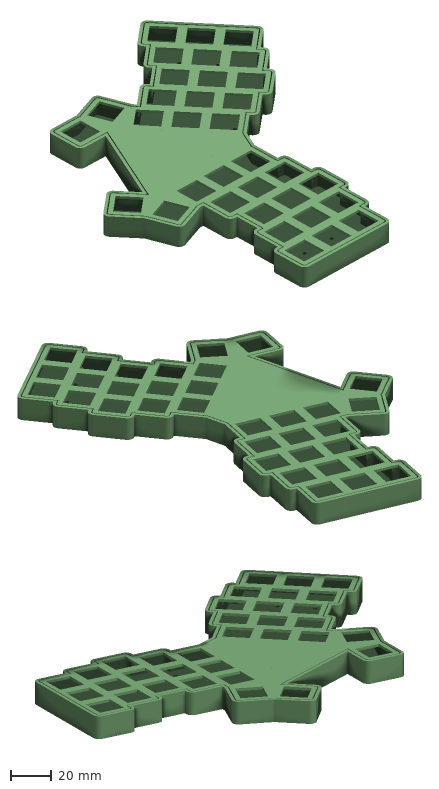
import cadquery as cq
import math

COLUMN_TILT = 25
INNER_COLUMN = 25.4
OUTER_COLUMN = 101.5
TOP_KEY = 9.5
STAGGER = [0, 4.7, 9.5, 4.7, 0]
ROWS = 3
PITCH = (OUTER_COLUMN - INNER_COLUMN) / (len(STAGGER) - 1)
HALF_CELL = PITCH / 2
KEY_HOLE = 14.0
THUMB_TURN = 20

CASE_HEIGHT = 12.0
FLOOR = 1.5
PLATE_THICKNESS = 1.5
PLATE_BOTTOM = CASE_HEIGHT - PLATE_THICKNESS
INLAY_DEPTH = 0.7
INLAY_BOTTOM = CASE_HEIGHT - INLAY_DEPTH

PLATE_CORNER = 1.2
PLATE_GAP = 0.6
WALL = 1.6
FRAME = 1.0
INLAY_CORNER = 1.0

SLOT = 2.0
FIRST_SLOT = 3.0
SLOT_COUNT = 5
BRIDGE = 1.0
BRIDGE_LENGTH = 71.1

SCREW_HOLE = 2.2
INNER_SCREW_HEIGHT = 13.5
THUMB_SCREW_OFFSET = 10.5


def turned(x, y, degrees):
    angle = math.radians(degrees)
    return x * math.cos(angle) - y * math.sin(angle), x * math.sin(angle) + y * math.cos(angle)


def cell_corner(key, side, end):
    """A corner of the square cell round a key; side and end are 1 or -1."""
    x, y, tilt = key
    dx, dy = turned(side * HALF_CELL, end * HALF_CELL, tilt)
    return x + dx, y + dy


def column_keys(number):
    across = INNER_COLUMN + number * PITCH
    top = TOP_KEY + STAGGER[number]
    return [(*turned(across, top - row * PITCH, COLUMN_TILT), COLUMN_TILT) for row in range(ROWS)]


def hung_key(hinge, tilt):
    """A key whose upper outer cell corner is at the hinge."""
    dx, dy = turned(-HALF_CELL, -HALF_CELL, tilt)
    return hinge[0] + dx, hinge[1] + dy, tilt


columns = [column_keys(number) for number in range(len(STAGGER))]
inner_top = columns[0][0]
inner_bottom = columns[0][-1]
upper_thumb = hung_key(cell_corner(inner_bottom, 1, -1), COLUMN_TILT + THUMB_TURN)
lower_thumb = hung_key(cell_corner(upper_thumb, -1, -1), -COLUMN_TILT)
keys = [key for column in columns for key in column] + [upper_thumb, lower_thumb]

top_x, top_y = cell_corner(inner_top, -1, 1)
base_y = cell_corner(lower_thumb, -1, 1)[1]
base_x = top_x + (top_y - base_y) * math.tan(math.radians(COLUMN_TILT))
BASE_BISECTOR = (90 - COLUMN_TILT) / 2
bridge_centre_y = base_y + base_x * math.tan(math.radians(BASE_BISECTOR))


def mirrored_outline(right_points):
    left_points = [(-x, y) for x, y in reversed(right_points)]
    return cq.Workplane("XY").polyline(right_points + left_points).close()


def plate_outline():
    points = []
    for column in columns:
        points += [cell_corner(column[0], -1, 1), cell_corner(column[0], 1, 1)]
    for column in reversed(columns[1:]):
        points += [cell_corner(column[-1], 1, -1), cell_corner(column[-1], -1, -1)]
    points.append(cell_corner(inner_bottom, 1, -1))
    points.append(cell_corner(upper_thumb, 1, -1))
    points += [cell_corner(lower_thumb, side, end) for side, end in [(1, 1), (1, -1), (-1, -1), (-1, 1)]]
    return mirrored_outline(points)


def centre_outline():
    return mirrored_outline([
        cell_corner(inner_top, -1, 1),
        cell_corner(inner_bottom, -1, -1),
        cell_corner(inner_bottom, 1, -1),
        cell_corner(upper_thumb, -1, 1),
        cell_corner(upper_thumb, -1, -1),
        cell_corner(lower_thumb, -1, 1),
    ])


def trapezoid_outline():
    return mirrored_outline([(top_x, top_y), (base_x, base_y)])


def rounded(outline, radius, grow):
    """The outline grown by an offset, with its outward corners rounded."""
    return outline.offset2D(min(grow, 0) - radius).offset2D(radius + max(grow, 0))


def prism(outline, bottom, top):
    return outline.extrude(top - bottom).translate((0, 0, bottom))


def screw_points():
    between_outer_columns = OUTER_COLUMN - HALF_CELL
    below_top_key = TOP_KEY - HALF_CELL
    thumb_dx, thumb_dy = turned(-THUMB_SCREW_OFFSET, 0, upper_thumb[2])
    right = [
        turned(between_outer_columns, below_top_key, COLUMN_TILT),
        turned(between_outer_columns, below_top_key - PITCH, COLUMN_TILT),
        turned(INNER_COLUMN + HALF_CELL, INNER_SCREW_HEIGHT, COLUMN_TILT),
        (upper_thumb[0] + thumb_dx, upper_thumb[1] + thumb_dy),
    ]
    return right + [(-x, y) for x, y in right]


def make_case():
    """An open tray with screw holes through its floor."""
    tray = prism(rounded(plate_outline(), PLATE_CORNER, PLATE_GAP + WALL), 0, CASE_HEIGHT)
    cavity = prism(rounded(plate_outline(), PLATE_CORNER, PLATE_GAP), FLOOR, CASE_HEIGHT)
    screws = cq.Workplane("XY").pushPoints(screw_points()).circle(SCREW_HOLE / 2).extrude(FLOOR)
    return tray.cut(cavity).cut(screws)


def bridges():
    """Three bars from the middle of the inlay to its top and its two base corners."""
    height = 2 * CASE_HEIGHT
    arm = cq.Workplane("XY").box(BRIDGE_LENGTH, BRIDGE, height).translate((BRIDGE_LENGTH / 2, 0, 0))
    bars = arm.rotate((0, 0, 0), (0, 0, 1), 90)
    for direction in (-BASE_BISECTOR, 180 + BASE_BISECTOR):
        bars = bars.union(arm.rotate((0, 0, 0), (0, 0, 1), direction))
    return bars.translate((0, bridge_centre_y, 0))


def make_inlay():
    """A thin sheet with nested slots, each interrupted by the bridges."""
    sheet = prism(rounded(centre_outline(), INLAY_CORNER, -FRAME), INLAY_BOTTOM, CASE_HEIGHT)
    bars = bridges()
    for number in range(SLOT_COUNT):
        inset = FIRST_SLOT + 2 * SLOT * number
        outer = prism(rounded(trapezoid_outline(), INLAY_CORNER, -inset), INLAY_BOTTOM, CASE_HEIGHT)
        inner = prism(trapezoid_outline().offset2D(-inset - SLOT), INLAY_BOTTOM, CASE_HEIGHT)
        sheet = sheet.cut(outer.cut(inner).cut(bars))
    return sheet


def make_plate(inlay):
    """The key plate, recessed for the inlay, with ribs that fill the slots of the inlay."""
    sheet = prism(rounded(plate_outline(), PLATE_CORNER, 0), PLATE_BOTTOM, CASE_HEIGHT)
    for x, y, tilt in keys:
        hole = cq.Workplane("XY").rect(KEY_HOLE, KEY_HOLE).extrude(CASE_HEIGHT)
        hole = hole.rotate((0, 0, 0), (0, 0, 1), tilt).translate((x, y, 0))
        sheet = sheet.cut(hole).cut(hole.mirror("YZ"))
    return sheet.cut(inlay)


case = make_case()
inlay = make_inlay()
plate = make_plate(inlay)

result = cq.Compound.makeCompound([
    *case.solids().vals(),
    *plate.solids().vals(),
    *inlay.solids().vals(),
])